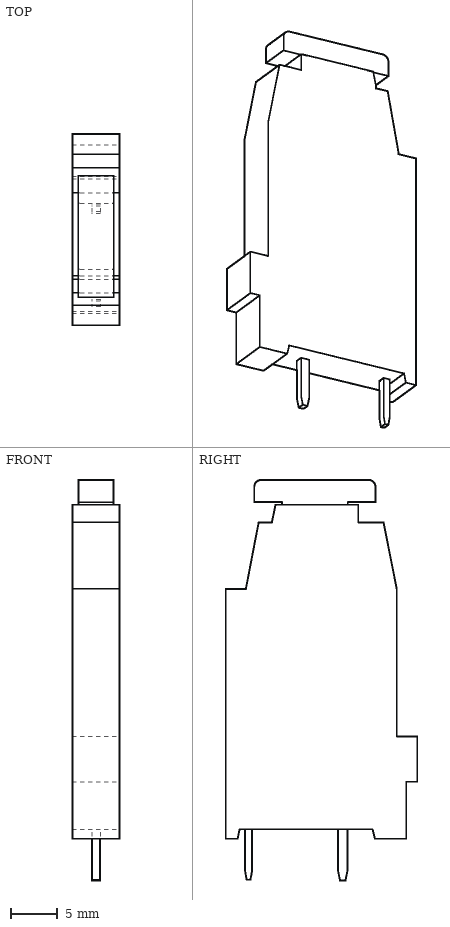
import cadquery as cq


housing_thickness = 5.1
housing_depth = 20.6
foot_z = 4.5
base_z = 5.5
front_foot_tip_y = 1.3
front_foot_root_y = 1.5
rear_foot_tip_y = 16.05
rear_foot_root_y = 15.77
lower_rear_y = 19.45
latch_bottom_z = 10.6
latch_top_z = 15.5
upper_rear_y = 18.4
slope_bottom_z = 31.38
shoulder_z = 38.55
front_ledge_y = 2.15
front_shoulder_y = 3.55
rear_shoulder_y = 17.0
head_top_z = 40.43
head_front_bottom_y = 4.95
head_front_top_y = 5.35
head_rear_y = 14.25

button_thickness = 3.8
button_front_y = 3.05
button_rear_y = 16.1
button_bottom_z = 40.7
button_top_z = 43.1
button_edge_radius = 0.78
neck_front_y = 6.05
neck_rear_y = 13.15

pin_thickness = 0.9
taper_start_z = 1.05
rear_pin_y = 12.6
rear_pin_width = 1.05
rear_pin_tip_width = 0.6
front_pin_y = 2.45
front_pin_width = 0.78
front_pin_tip_width = 0.45
front_pin_tip_z = 0.1


def plate(outline, thickness):
    """Extrude a closed (Y, Z) outline equally to both sides of X = 0."""
    return cq.Workplane("YZ").polyline(outline).close().extrude(thickness / 2, both=True)


def make_housing():
    outline = [
        (0, foot_z),
        (front_foot_tip_y, foot_z),
        (front_foot_root_y, base_z),
        (rear_foot_root_y, base_z),
        (rear_foot_tip_y, foot_z),
        (lower_rear_y, foot_z),
        (lower_rear_y, latch_bottom_z),
        (housing_depth, latch_bottom_z),
        (housing_depth, latch_top_z),
        (upper_rear_y, latch_top_z),
        (upper_rear_y, slope_bottom_z),
        (rear_shoulder_y, shoulder_z),
        (head_rear_y, shoulder_z),
        (head_rear_y, head_top_z),
        (head_front_top_y, head_top_z),
        (head_front_bottom_y, shoulder_z),
        (front_shoulder_y, shoulder_z),
        (front_ledge_y, slope_bottom_z),
        (0, slope_bottom_z),
    ]
    return plate(outline, housing_thickness)


def make_button():
    """Button with rounded top ends and a short neck resting on the housing head."""
    outline = [
        (neck_front_y, head_top_z),
        (neck_rear_y, head_top_z),
        (neck_rear_y, button_bottom_z),
        (button_rear_y, button_bottom_z),
        (button_rear_y, button_top_z),
        (button_front_y, button_top_z),
        (button_front_y, button_bottom_z),
        (neck_front_y, button_bottom_z),
    ]
    block = plate(outline, button_thickness)
    return block.faces(">Z").edges("|X").fillet(button_edge_radius)


def make_pin(center_y, width, tip_width, tip_z):
    """Flat pin with a tapered tip, ending against the underside of the housing."""
    outline = [
        (center_y - tip_width / 2, tip_z),
        (center_y + tip_width / 2, tip_z),
        (center_y + width / 2, taper_start_z),
        (center_y + width / 2, base_z),
        (center_y - width / 2, base_z),
        (center_y - width / 2, taper_start_z),
    ]
    return plate(outline, pin_thickness)


housing = make_housing()
button = make_button()

pin_sizes = [
    (rear_pin_y, rear_pin_width, rear_pin_tip_width, 0),
    (front_pin_y, front_pin_width, front_pin_tip_width, front_pin_tip_z),
]
pins = [make_pin(*sizes) for sizes in pin_sizes]

result = cq.Compound.makeCompound([housing.val(), button.val(), *[pin.val() for pin in pins]])